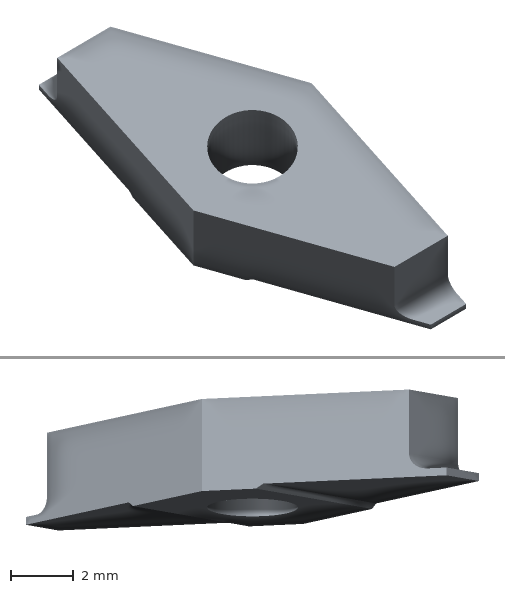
import cadquery as cq
import math

length = 15.0
width = 6.0
height = 3.0

end_width = 1.4
flank_angle = math.radians(35)
flank_length = (width - end_width) / math.tan(flank_angle)

tab_length = 1.0
tab_bottom = 0.15
tab_top = 0.4
root_radius = 0.5

seat_length = 4.75
seat_slope_run = 0.2

hole_diameter = 2.9

half_length = length / 2
half_width = width / 2
body_end = half_length - tab_length
seat_end = seat_length / 2
seat_root = seat_end + seat_slope_run


def plan_prism():
    """Full-height prism of the six-sided plan outline."""
    outline = [
        (-half_length, -half_width),
        (half_length - flank_length, -half_width),
        (half_length, half_width - end_width),
        (half_length, half_width),
        (-half_length + flank_length, half_width),
        (-half_length, -half_width + end_width),
    ]
    return cq.Workplane("XY").polyline(outline).close().extrude(height)


def side_prism():
    """Side profile with tabs, root fillets and seat, run across the full width."""
    arc_offset = root_radius * (1 - math.sqrt(0.5))
    root_mid = (body_end + arc_offset, tab_top + arc_offset)
    return (
        cq.Workplane("XZ")
        .moveTo(-seat_end, 0)
        .lineTo(seat_end, 0)
        .lineTo(seat_root, tab_bottom)
        .lineTo(half_length, tab_bottom)
        .lineTo(half_length, tab_top)
        .lineTo(body_end + root_radius, tab_top)
        .threePointArc(root_mid, (body_end, tab_top + root_radius))
        .lineTo(body_end, height)
        .lineTo(-body_end, height)
        .lineTo(-body_end, tab_top + root_radius)
        .threePointArc((-root_mid[0], root_mid[1]), (-body_end - root_radius, tab_top))
        .lineTo(-half_length, tab_top)
        .lineTo(-half_length, tab_bottom)
        .lineTo(-seat_root, tab_bottom)
        .close()
        .extrude(half_width, both=True)
    )


screw_hole = cq.Workplane("XY").circle(hole_diameter / 2).extrude(height)

result = plan_prism().intersect(side_prism()).cut(screw_hole)